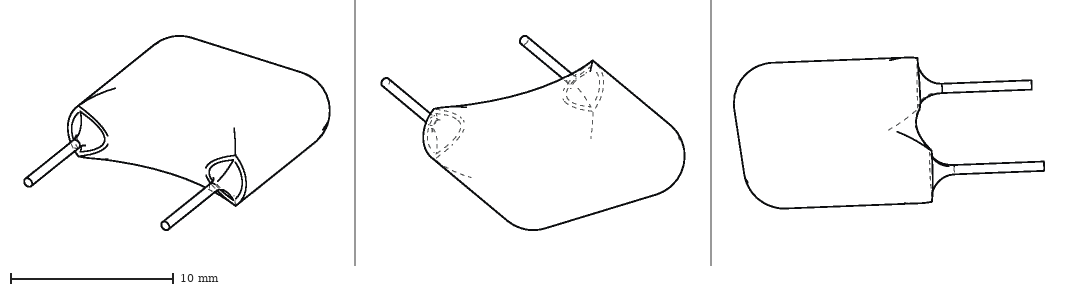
import cadquery as cq
import math

body_width = 13.0
body_thickness = 5.0
total_length = 18.5
base_y = 7.0
arch_top_y = 9.99
arch_radius = 15.17
lead_spacing = 9.99
lead_radius = 0.3
flare_length = 1.45
flare_coverage = 0.98
flare_overlap = 0.04
flare_section_count = 6
arch_curve_steps = 4

edge_radius = body_thickness / 2
flat_half_width = body_width / 2 - edge_radius
round_top_y = total_length - edge_radius
arch_center_y = arch_top_y - arch_radius
lead_x = lead_spacing / 2
lead_top_y = base_y - flare_length


def make_body_blank():
    """Plate with full-round sides, a full-round top and spherical top corners."""
    blank = (
        cq.Workplane("XZ", origin=(0, base_y, 0))
        .slot2D(body_width, body_thickness)
        .extrude(base_y - round_top_y)
    )
    top_round = (
        cq.Workplane("YZ", origin=(-flat_half_width, round_top_y, 0))
        .circle(edge_radius)
        .extrude(2 * flat_half_width)
    )
    blank = blank.union(top_round)
    for side in (-1, 1):
        corner = cq.Workplane("XY").sphere(edge_radius)
        blank = blank.union(corner.translate((side * flat_half_width, round_top_y, 0)))
    return blank


def make_arch_cutter():
    """Disc with a hollow round rim, leaving a full-round arched lower edge."""
    return (
        cq.Workplane("XZ")
        .moveTo(0, -edge_radius)
        .lineTo(arch_radius, -edge_radius)
        .threePointArc((arch_radius - edge_radius, 0), (arch_radius, edge_radius))
        .lineTo(0, edge_radius)
        .close()
        .revolve(360, (0, 0, 0), (0, 1, 0))
        .translate((0, arch_center_y, 0))
    )


def arch_x(z):
    """Distance from the middle plane to the arch surface at shoulder level and height z."""
    tube_depth = math.sqrt(edge_radius ** 2 - z ** 2)
    return math.sqrt((arch_radius - tube_depth) ** 2 - (base_y - arch_center_y) ** 2)


def make_lead():
    """Right-hand lead with a flare widening from its round section to the shoulder."""
    reach = arch_radius + flat_half_width
    corner_x = (reach ** 2 - (base_y - arch_center_y) ** 2) / (2 * reach)
    corner_z = math.sqrt(edge_radius ** 2 - (corner_x - flat_half_width) ** 2)
    corner_angle = math.atan2(corner_z, corner_x - lead_x)

    def flare_point(shoulder_x, shoulder_z, lead_angle, spread, y):
        """Point between the lead circle (spread 0) and the shoulder outline (spread 1)."""
        round_x = lead_x + lead_radius * math.cos(lead_angle)
        round_z = lead_radius * math.sin(lead_angle)
        x = round_x + spread * (shoulder_x - round_x)
        z = round_z + spread * (shoulder_z - round_z)
        return cq.Vector(x, y, z)

    sections = []
    for section in range(flare_section_count):
        angle = math.pi / 2 * section / (flare_section_count - 1)
        spread = flare_coverage * (1 - math.sin(angle))
        y = lead_top_y + (flare_length + flare_overlap) * math.cos(angle)

        inner_points = []
        for step in range(-arch_curve_steps, arch_curve_steps + 1):
            fraction = step / arch_curve_steps
            z = fraction * corner_z
            lead_angle = math.pi - fraction * (math.pi - corner_angle)
            inner_points.append(flare_point(arch_x(z), z, lead_angle, spread, y))
        outer_point = flare_point(body_width / 2, 0, 0, spread, y)

        inner_edge = cq.Edge.makeSpline(inner_points)
        outer_edge = cq.Edge.makeThreePointArc(inner_points[-1], outer_point, inner_points[0])
        sections.append(cq.Wire.assembleEdges([inner_edge, outer_edge]))
    flare = cq.Workplane(cq.Solid.makeLoft(sections))
    wire = cq.Workplane("XZ").center(lead_x, 0).circle(lead_radius).extrude(-lead_top_y)
    return flare.union(wire)


lead = make_lead()
body = make_body_blank().cut(make_arch_cutter())
result = body.union(lead).union(lead.mirror("YZ"))